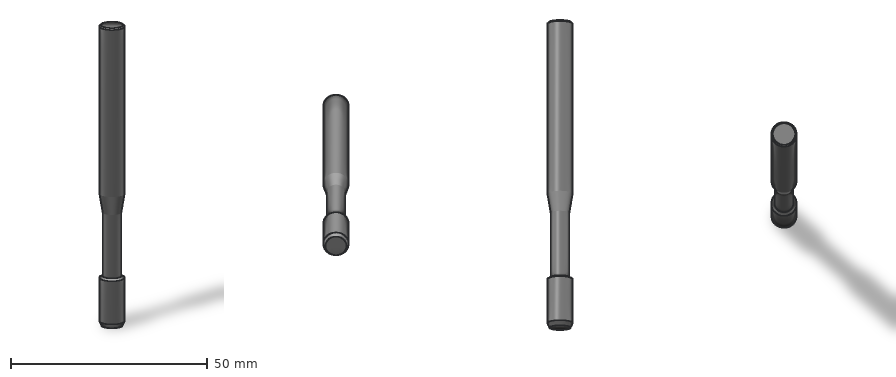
import cadquery as cq

total_length = 80.0
body_diameter = 6.5
neck_diameter = 4.8

head_length = 13.2
taper_bottom = 30.1
taper_top = 35.1

tip_bevel_width = 0.6
tip_bevel_height = 1.2
head_top_bevel_height = 0.5
shank_bevel = 0.4

body_radius = body_diameter / 2
neck_radius = neck_diameter / 2


def revolve_profile(points):
    """Turn a half profile of (radius, height) points about the Z axis."""
    profile = cq.Workplane("XZ").polyline(points).close()
    return profile.revolve(360, (0, 0, 0), (0, 1, 0))


def make_cutting_head():
    """Cylindrical head, bevelled at the tip and down to the neck diameter at the top."""
    return revolve_profile([
        (0, 0),
        (body_radius - tip_bevel_width, 0),
        (body_radius, tip_bevel_height),
        (body_radius, head_length - head_top_bevel_height),
        (neck_radius, head_length),
        (0, head_length),
    ])


def make_shank():
    """Slender neck that stands on the head and widens through a taper to the shank."""
    return revolve_profile([
        (0, head_length),
        (neck_radius, head_length),
        (neck_radius, taper_bottom),
        (body_radius, taper_top),
        (body_radius, total_length - shank_bevel),
        (body_radius - shank_bevel, total_length),
        (0, total_length),
    ])


cutting_head = make_cutting_head()
shank = make_shank()

result = cq.Compound.makeCompound([cutting_head.val(), shank.val()])